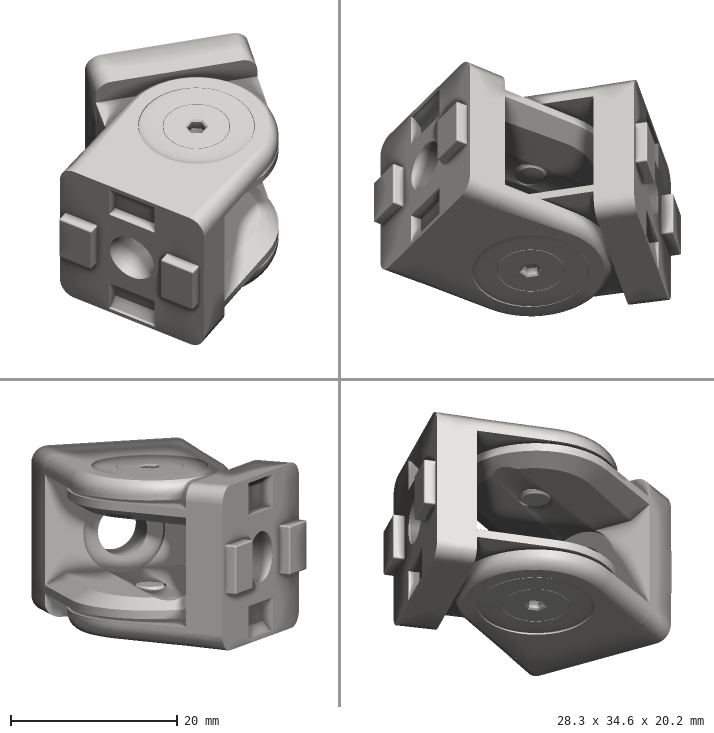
import cadquery as cq
import math


swivel_angle = -135.0

plate_front = -15.0
plate_back = -10.0
plate_thickness = plate_back - plate_front
plate_front_width = 20.17
corner_radius = 2.0
bolt_hole_diameter = 6.2
bolt_seat_depth = 0.6

face_draft = 0.9
side_draft = 0.7
plate_half_width = plate_front_width / 2 - plate_thickness * math.tan(math.radians(face_draft))

tab_width = 4.55
tab_height = 6.0
tab_outer_edge = 9.41
tab_centre = tab_outer_edge - tab_width / 2
tab_projection = 1.44
tab_root = 1.0
tab_edge_radius = 0.2
pocket_width = 6.4
pocket_depth = 1.4
pocket_lip_depth = 0.4
pocket_inner_edge = 5.5
pocket_floor_end = 8.5
pocket_mouth_end = 9.55

arm_root = -13.0
side_cos = math.cos(math.radians(side_draft))
side_sin = math.sin(math.radians(side_draft))
arm_root_half_width = plate_half_width + (plate_back - arm_root) * math.tan(math.radians(side_draft))
arm_end_radius = plate_half_width * side_cos + plate_back * side_sin
cutter_size = 40.0

outer_arm_face = plate_half_width
outer_arm_inside = 7.47
inner_arm_outside = 7.06
inner_arm_edge = 6.03
inner_arm_face = 4.54
inner_arm_bevel = 60.0
bolt_channel_diameter = 10.3

thrust_disc_diameter = 17.0
boss_diameter = 13.9
boss_hole_diameter = 14.0
boss_end = 9.75

screw_head_diameter = 8.0
head_recess_diameter = 8.1
head_height = 2.5
head_seat = boss_end - head_height
shank_diameter = 4.0
shank_tip = 4.68
tip_chamfer = (shank_diameter - 3.3) / 2
socket_width = 2.0
socket_mouth_width = 2.42
socket_depth = 1.2
socket_mouth_depth = 0.2
socket_cone_height = 0.3


def cylinder_z(diameter, start, end):
    return cq.Workplane("XY", origin=(0, 0, start)).circle(diameter / 2).extrude(end - start)


def arm_outline(height):
    """Arm outline at the given Z, from inside the plate to the round end."""
    tangent_x = arm_end_radius * side_cos
    tangent_y = arm_end_radius * side_sin
    return (
        cq.Workplane("XY", origin=(0, 0, height))
        .moveTo(-arm_root_half_width, arm_root)
        .lineTo(arm_root_half_width, arm_root)
        .lineTo(tangent_x, tangent_y)
        .threePointArc((0, arm_end_radius), (-tangent_x, tangent_y))
        .close()
    )


def space_above_drafted_face(height):
    """Block above a plane that is at the given Z at the plate and falls away from it."""
    return (
        cq.Workplane("XY")
        .rect(cutter_size, cutter_size)
        .extrude(cutter_size)
        .rotate((0, 0, 0), (1, 0, 0), -face_draft)
        .translate((0, plate_back, height))
    )


def make_plate():
    plate = (
        cq.Workplane("XZ", origin=(0, plate_front, 0))
        .sketch()
        .rect(plate_front_width, plate_front_width)
        .vertices()
        .fillet(corner_radius)
        .finalize()
        .extrude(-plate_thickness, taper=face_draft)
    )
    pocket = (
        cq.Workplane("YZ")
        .moveTo(plate_front, pocket_inner_edge)
        .lineTo(plate_front, pocket_mouth_end)
        .lineTo(plate_front + pocket_lip_depth, pocket_mouth_end)
        .lineTo(plate_front + pocket_depth, pocket_floor_end)
        .lineTo(plate_front + pocket_depth, pocket_inner_edge)
        .close()
        .extrude(pocket_width / 2, both=True)
    )
    plate = plate.cut(pocket).cut(pocket.mirror("XY"))
    for side in (-1, 1):
        tab = (
            cq.Workplane("XZ", origin=(side * tab_centre, plate_front + tab_root, 0))
            .rect(tab_width, tab_height)
            .extrude(tab_root + tab_projection)
            .edges("|Y or <Y")
            .fillet(tab_edge_radius)
        )
        plate = plate.union(tab)
    bolt_hole = (
        cq.Workplane("XZ", origin=(0, plate_front, 0))
        .circle(bolt_hole_diameter / 2)
        .extrude(-plate_thickness)
    )
    bolt_seat = (
        cq.Workplane("XZ", origin=(0, plate_back, 0))
        .circle(bolt_channel_diameter / 2)
        .extrude(bolt_seat_depth)
    )
    return plate.cut(bolt_hole).cut(bolt_seat)


def make_outer_arm():
    """Outer arm, built above the origin: rounded edge, drafted outer face, hole for the boss."""
    arm = (
        arm_outline(outer_arm_inside)
        .extrude(outer_arm_face - outer_arm_inside)
        .faces(">Z")
        .edges("not <Y")
        .fillet(corner_radius)
    )
    boss_hole = cylinder_z(boss_hole_diameter, outer_arm_inside, outer_arm_face)
    return arm.cut(space_above_drafted_face(outer_arm_face)).cut(boss_hole)


def make_inner_arm():
    """Inner arm: bevelled edge and bolt channel on the inside, pivot boss on the outside."""
    arm = arm_outline(inner_arm_edge).extrude(inner_arm_outside - inner_arm_edge)
    bevel = arm_outline(inner_arm_edge).extrude(inner_arm_face - inner_arm_edge, taper=inner_arm_bevel)
    space_below = space_above_drafted_face(-inner_arm_face).mirror("XY")
    channel = (
        cq.Workplane("XZ")
        .circle(bolt_channel_diameter / 2)
        .extrude(cutter_size / 2, both=True)
    )
    thrust_disc = cylinder_z(thrust_disc_diameter, inner_arm_outside, outer_arm_inside)
    boss = cylinder_z(boss_diameter, inner_arm_outside, boss_end)
    head_recess = cylinder_z(head_recess_diameter, head_seat, boss_end)
    shank_hole = cylinder_z(shank_diameter, 0, head_seat)
    arm = arm.union(bevel).cut(space_below).cut(channel)
    return arm.union(thrust_disc).union(boss).cut(head_recess).cut(shank_hole)


def make_hinge_half():
    outer_arm = make_outer_arm().mirror("XY")
    return make_plate().union(make_inner_arm()).union(outer_arm)


def hexagon(width, height):
    """Hexagon with the given width across flats and two corners on the Y axis."""
    corner_diameter = width / math.cos(math.pi / 6)
    return (
        cq.Workplane("XY", origin=(0, 0, height))
        .transformed(rotate=(0, 0, 90))
        .polygon(6, corner_diameter)
    )


def make_screw():
    """Screw for the upper pivot, with its head flush with the boss."""
    shank = cylinder_z(shank_diameter, shank_tip, head_seat).faces("<Z").chamfer(tip_chamfer)
    head = cylinder_z(screw_head_diameter, head_seat, boss_end)
    socket = hexagon(socket_width, boss_end).extrude(-socket_depth)
    socket_mouth = (
        hexagon(socket_mouth_width, boss_end)
        .workplane(offset=-socket_mouth_depth)
        .polygon(6, socket_width / math.cos(math.pi / 6))
        .loft(combine=True)
    )
    socket_cone = cq.Workplane(
        cq.Solid.makeCone(
            socket_width / 2,
            0,
            socket_cone_height,
            pnt=cq.Vector(0, 0, boss_end - socket_depth),
            dir=cq.Vector(0, 0, -1),
        )
    )
    return head.union(shank).cut(socket).cut(socket_mouth).cut(socket_cone)


hinge_half = make_hinge_half()
front_half = hinge_half.rotate((0, 0, 0), (0, 1, 0), 180)
swung_half = hinge_half.rotate((0, 0, 0), (0, 0, 1), swivel_angle)

upper_screw = make_screw()
lower_screw = upper_screw.rotate((0, 0, 0), (0, 1, 0), 180)

result = cq.Compound.makeCompound(
    [front_half.val(), swung_half.val(), upper_screw.val(), lower_screw.val()]
)